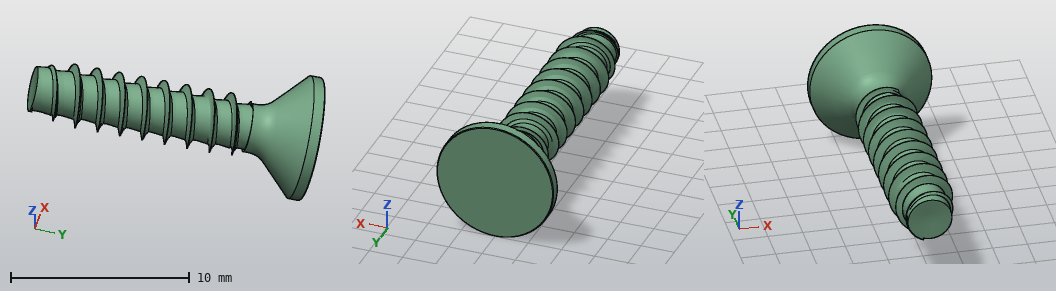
import cadquery as cq
import math

length = 16.0
head_radius = 3.5
rim_height = 0.64
rim_edge_break = 0.05
neck_radius = 1.38
neck_fillet_radius = 1.36
neck_end = 3.63
core_radius = 1.23

cone_angle = math.radians(45)
half_fillet_angle = cone_angle / 2
cone_end_radius = neck_radius + neck_fillet_radius * (1 - math.cos(cone_angle))
cone_end = rim_height + head_radius - cone_end_radius
fillet_end = cone_end + neck_fillet_radius * math.sin(cone_angle)
fillet_mid = (
    neck_radius + neck_fillet_radius * (1 - math.cos(half_fillet_angle)),
    -fillet_end + neck_fillet_radius * math.sin(half_fillet_angle),
)

full_turns = 8
full_turns_length = 10.32
pitch = full_turns_length / full_turns
first_crest_depth = 3.42
crest_radius = 1.76
crest_half_width = 0.02
buried_radius = 1.15
foot_radius = 1.31
start_turn, full_height_turn = -0.75, 1.0
fade_turn, fade_end_turn, end_turn = 8.1, 9.6, 9.7
start_crest_radius = 1.28
smallest_tooth_scale = 0.05
points_per_turn = 20

tooth_section = [
    (-0.32, buried_radius),
    (-0.13, 1.42),
    (-crest_half_width, crest_radius),
    (crest_half_width, crest_radius),
    (0.2, foot_radius),
    (0.93, 1.22),
    (0.93, buried_radius),
]

tip_hollow_radius = 1.15
tip_hollow_depth = 0.08


def make_body():
    """Head, filleted neck and cylindrical core as one turned solid."""
    return (
        cq.Workplane("XY")
        .moveTo(0, 0)
        .lineTo(head_radius - rim_edge_break, 0)
        .lineTo(head_radius, -rim_edge_break)
        .lineTo(head_radius, -rim_height)
        .lineTo(cone_end_radius, -cone_end)
        .threePointArc(fillet_mid, (neck_radius, -fillet_end))
        .lineTo(neck_radius, -neck_end)
        .lineTo(core_radius, -neck_end)
        .lineTo(core_radius, -length)
        .lineTo(0, -length)
        .close()
        .revolve(360, (0, 0, 0), (0, 1, 0))
    )


def tooth_scale(turn):
    """Tooth size at a turn, from full size down to the runout at either end."""
    rise = (turn - start_turn) / (full_height_turn - start_turn)
    fall = (fade_end_turn - turn) / (fade_end_turn - fade_turn)
    rising_radius = start_crest_radius + (crest_radius - start_crest_radius) * rise
    rising_scale = (rising_radius - foot_radius) / (crest_radius - foot_radius)
    return max(smallest_tooth_scale, min(1, rising_scale, fall))


def section_point(offset, radius, turn):
    """Place one tooth section point at the given turn of the helix.

    The leading flank and the crest shrink in the runouts; the ramp keeps its size.
    """
    scale = tooth_scale(turn)
    scaled_radius = radius
    if radius > foot_radius:
        scaled_radius = foot_radius + (radius - foot_radius) * scale
    scaled_offset = offset * scale if offset < 0 else offset
    angle = 2 * math.pi * turn
    return cq.Vector(
        scaled_radius * math.cos(angle),
        -first_crest_depth - pitch * turn - scaled_offset,
        scaled_radius * math.sin(angle),
    )


def make_thread():
    """Solid tooth bounded by ruled flanks between helical edges."""
    steps = round((end_turn - start_turn) * points_per_turn)
    turns = [start_turn + step / points_per_turn for step in range(steps + 1)]
    helices = [
        cq.Edge.makeSpline([section_point(offset, radius, turn) for turn in turns])
        for offset, radius in tooth_section
    ]
    next_helices = helices[1:] + helices[:1]
    faces = [cq.Face.makeRuledSurface(a, b) for a, b in zip(helices, next_helices)]
    for turn in (start_turn, end_turn):
        corners = [section_point(offset, radius, turn) for offset, radius in tooth_section]
        faces.append(cq.Face.makeFromWires(cq.Wire.makePolygon(corners, close=True)))
    return cq.Workplane(obj=cq.Solid.makeSolid(cq.Shell.makeShell(faces)))


def make_thread_limits():
    """Cylinder between the neck end and the tip that trims the thread square."""
    return (
        cq.Workplane("XZ", origin=(0, -neck_end, 0))
        .circle(head_radius)
        .extrude(length - neck_end)
    )


def make_tip_hollow():
    """Cone that dishes the tip face."""
    return (
        cq.Workplane("XY")
        .moveTo(0, -length)
        .lineTo(tip_hollow_radius, -length)
        .lineTo(0, -length + tip_hollow_depth)
        .close()
        .revolve(360, (0, 0, 0), (0, 1, 0))
    )


trimmed_thread = make_thread().intersect(make_thread_limits())
result = make_body().union(trimmed_thread).cut(make_tip_hollow())